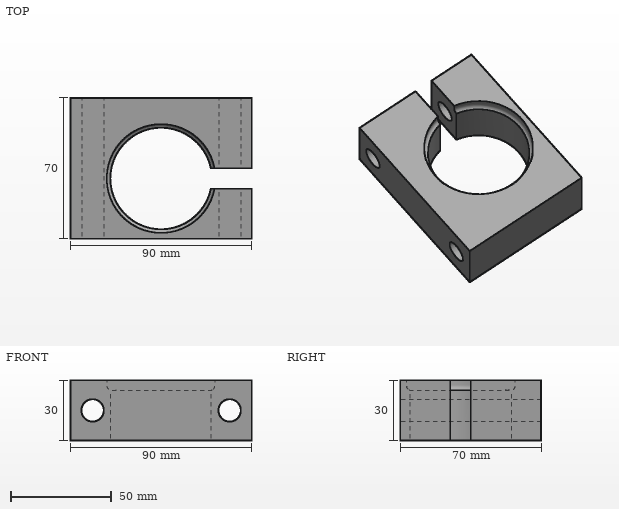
import cadquery as cq
import math

LENGTH = 90.0
WIDTH = 70.0
HEIGHT = 30.0

BORE_CENTER_X = LENGTH / 2
BORE_CENTER_Y = 30.0
BORE_RADIUS = 25.15
RECESS_RADIUS = 27.0
RECESS_DEPTH = 5.0
RECESS_FILLET = 2.5

SLOT_WIDTH = 10.0

BOLT_DIAMETER = 11.0
BOLT_INSET = 11.0


def block():
    return cq.Workplane("XY").box(LENGTH, WIDTH, HEIGHT, centered=False)


def bore_cutter():
    """Revolved bore and recess, with a concave fillet between recess wall and bore."""
    fillet_center_radius = RECESS_RADIUS - RECESS_FILLET
    fillet_center_z = HEIGHT - RECESS_DEPTH + RECESS_FILLET
    bore_offset = BORE_RADIUS - fillet_center_radius
    bore_top_z = fillet_center_z - math.sqrt(RECESS_FILLET**2 - bore_offset**2)
    profile = (
        cq.Workplane("XZ")
        .lineTo(BORE_RADIUS, 0)
        .lineTo(BORE_RADIUS, bore_top_z)
        .radiusArc((RECESS_RADIUS, fillet_center_z), -RECESS_FILLET)
        .lineTo(RECESS_RADIUS, HEIGHT)
        .lineTo(0, HEIGHT)
        .close()
    )
    cutter = profile.revolve(360, (0, 0, 0), (0, 1, 0))
    return cutter.translate((BORE_CENTER_X, BORE_CENTER_Y, 0))


def slot_cutter():
    """Slot from the bore axis out through the +X face."""
    slot_length = LENGTH - BORE_CENTER_X
    return (
        cq.Workplane("XY")
        .box(slot_length, SLOT_WIDTH, HEIGHT, centered=(False, True, False))
        .translate((BORE_CENTER_X, BORE_CENTER_Y, 0))
    )


def bolt_hole_cutter(x):
    """Through hole along Y at mid height."""
    return (
        cq.Workplane("XZ")
        .center(x, HEIGHT / 2)
        .circle(BOLT_DIAMETER / 2)
        .extrude(-WIDTH)
    )


result = block().cut(bore_cutter()).cut(slot_cutter())
for bolt_x in (BOLT_INSET, LENGTH - BOLT_INSET):
    result = result.cut(bolt_hole_cutter(bolt_x))